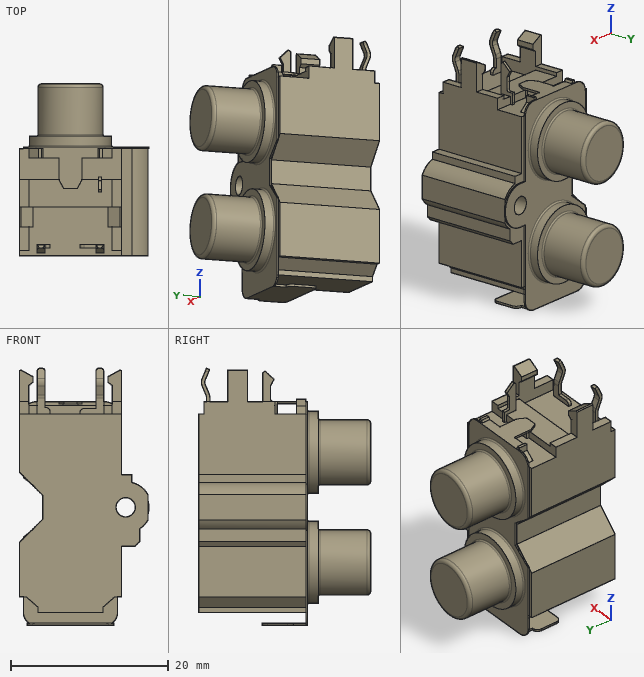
import cadquery as cq
import math


BODY_WIDTH = 13.0
BODY_DEPTH = 13.65
BODY_TOP = 26.9
SHOULDER_Z = 3.65
FOOT_Z = 1.65
FOOT_TAPER_Z = 2.3
FOOT_TAPER_X = 0.85
FOOT_X = 2.4
CENTRE_X = BODY_WIDTH / 2
JACK_MID_Z = 15.03
NOTCH_DEPTH = 2.95
NOTCH_HALF_MOUTH = 4.45
NOTCH_HALF_FLOOR = 1.55

EAR_HOLE_X = 13.52
EAR_HOLE_RADIUS = 1.2
EAR_RADIUS = 3.27
EAR_FLAT_X = 16.37
EAR_TOP_X = 14.3
EAR_TOP_Z = 19.2
EAR_LOW_X = 15.32
EAR_LOW_Z = 10.05
EAR_LOW_CHAMFER = 0.62

RAIL_TOP = 28.5
RAIL_WIDTH = 1.2
RAIL_FRONT_Y = 0.65
RAIL_BACK_Y = 9.7
SLAB_TOP = 28.0
SLAB_FRONT_Y = 6.22
NOSE_BACK_Y = 10.02
NOSE_WIDTH = 1.95
WALL_FRONT_Y = 12.45
WALL_FOOT_X = 1.25
WALL_SIDE_X = 2.42
WALL_SLOPE_Z = 27.9
WALL_HORN_Z = 28.8
WALL_HORN_X = 2.8
WALL_TOP_X = 2.98

POST_FRONT_Y = 3.67
POST_BACK_Y = SLAB_FRONT_Y
POST_TOP = 32.5
POST_EDGE_X = 0.2
POST_EDGE_Z = 32.4
HOOK_X = 1.75
HOOK_START_Z = 30.55
HOOK_LOW_Z = 30.95
HOOK_HIGH_Z = 31.65

SHIELD_SHEET = 0.2
FOLD_SHEET = 0.3
SHIELD_X = 0.5
SHIELD_TOP = RAIL_TOP
SHIELD_CORNER = 1.65
SHIELD_NOTCH_X = 3.1
SHIELD_HALF_MOUTH = 3.8
SHIELD_HALF_FLOOR = 1.75
SHIELD_EAR_RADIUS = 2.98
SHIELD_BACK_Y = BODY_DEPTH + SHIELD_SHEET
TAB_X = 0.98
TAB_NECK_X = 1.83
TAB_FRONT_Y = 8.1
TAB_BACK_Y = 12.08
TAB_FRONT_CORNER = 0.7
TAB_BACK_CORNER = 0.8
TONGUE_HALF_WIDTH = 1.47
TONGUE_TIP_HALF_WIDTH = 0.85
TONGUE_TIP_Y = 8.55

JACK_SPACING = 14.0
BARREL_RADIUS = 4.15
BARREL_END_Y = 21.9
BARREL_ROUND = 0.5
FLANGE_RADIUS = 5.25
FLANGE_END_Y = 15.22
ROOT_FILLET = 0.2

PIN_WIDTH = 1.0
PIN_OFFSET = 3.73
PIN_BACK_Y = 1.45
PIN_SHEET = 0.45
PIN_FRONT_Y = PIN_BACK_Y - PIN_SHEET
PIN_TOP = 32.75
PIN_CORNER = 0.4
PIN_LEAN = 23
BOW_Z = 30.95
BOW_FRONT_Y = 0.33
BOW_INNER_RADIUS = 0.82
HEEL_INNER_RADIUS = 0.98
LEFT_FOOT_END_X = 3.9
LEFT_FOOT_HEIGHT = 0.82
RIGHT_FOOT_END_X = 7.7
RIGHT_FOOT_HEIGHT = 0.7
FOOT_ROUND = 0.52

CLIP_X = 10.05
CLIP_SHEET = 0.43
CLIP_FRONT_Y = 8.12
CLIP_STEM_Y = 9.17
CLIP_FOOT_Z = 28.52
CLIP_FOOT_FILLET = 0.25
BARB_START_Z = 30.5
BARB_Y = 9.6
BARB_Z = 31.3
BARB_BEVEL = 0.15
CLIP_TIP_Y = 8.45
CLIP_TIP_Z = 32.38
CLIP_TIP_BEVEL = 0.25


def box(x0, x1, y0, y1, z0, z1):
    return cq.Workplane("XY").box(x1 - x0, y1 - y0, z1 - z0, centered=False).translate((x0, y0, z0))


def extrude_along_y(sketch_points, y0, y1):
    """Extrude an outline of (x, z) points from y0 to y1."""
    plane = cq.Workplane("XZ", origin=(0, y0, 0))
    return plane.polyline(sketch_points).close().extrude(y0 - y1)


def mirrored(shape):
    """The shape reflected across the middle of the body width."""
    return shape.mirror("YZ", (CENTRE_X, 0, 0))


def cylinder_along_y(x, z, radius, y0, y1):
    return cq.Workplane("XZ", origin=(x, y0, z)).circle(radius).extrude(y0 - y1)


def side_notch(depth_x, half_mouth, half_floor, start_x, y0, y1):
    """Flared notch cut into the left side between the two jacks."""
    return extrude_along_y(
        [
            (start_x, JACK_MID_Z + half_mouth),
            (depth_x, JACK_MID_Z + half_floor),
            (depth_x, JACK_MID_Z - half_floor),
            (start_x, JACK_MID_Z - half_mouth),
        ],
        y0,
        y1,
    )


def body_block():
    half_outline = [
        (CENTRE_X, BODY_TOP),
        (0, BODY_TOP),
        (0, SHOULDER_Z),
        (FOOT_TAPER_X, SHOULDER_Z),
        (FOOT_X, FOOT_TAPER_Z),
        (FOOT_X, FOOT_Z),
        (CENTRE_X, FOOT_Z),
    ]
    half = extrude_along_y(half_outline, 0, BODY_DEPTH)
    notch = side_notch(NOTCH_DEPTH, NOTCH_HALF_MOUTH, NOTCH_HALF_FLOOR, 0, 0, BODY_DEPTH)
    return half.union(mirrored(half)).cut(notch)


def mounting_ear():
    disc = cylinder_along_y(EAR_HOLE_X, JACK_MID_Z, EAR_RADIUS, 0, BODY_DEPTH)
    disc = disc.intersect(box(CENTRE_X, EAR_FLAT_X, 0, BODY_DEPTH, 0, BODY_TOP))
    upper = box(CENTRE_X, EAR_TOP_X, 0, BODY_DEPTH, JACK_MID_Z, EAR_TOP_Z)
    lower = box(CENTRE_X, EAR_LOW_X, 0, BODY_DEPTH, EAR_LOW_Z, JACK_MID_Z)
    lower = lower.edges("|Y and >X and <Z").chamfer(EAR_LOW_CHAMFER)
    return disc.union(upper).union(lower)


def snap_post():
    """Post on the left rail with a hooked, sloping head that faces inwards."""
    return extrude_along_y(
        [
            (0, BODY_TOP),
            (RAIL_WIDTH, BODY_TOP),
            (RAIL_WIDTH, HOOK_START_Z),
            (HOOK_X, HOOK_LOW_Z),
            (HOOK_X, HOOK_HIGH_Z),
            (POST_EDGE_X, POST_TOP),
            (0, POST_EDGE_Z),
        ],
        POST_FRONT_Y,
        POST_BACK_Y,
    )


def back_wall():
    """Wall along the rear edge with a sloping foot and a small horn at each end."""
    half = extrude_along_y(
        [
            (CENTRE_X, BODY_TOP),
            (WALL_FOOT_X, BODY_TOP),
            (WALL_SIDE_X, WALL_SLOPE_Z),
            (WALL_SIDE_X, WALL_HORN_Z),
            (WALL_HORN_X, WALL_HORN_Z),
            (WALL_TOP_X, RAIL_TOP),
            (CENTRE_X, RAIL_TOP),
        ],
        WALL_FRONT_Y,
        BODY_DEPTH,
    )
    return half.union(mirrored(half))


def top_features():
    rail = box(0, RAIL_WIDTH, RAIL_FRONT_Y, RAIL_BACK_Y, BODY_TOP, RAIL_TOP)
    left_side = rail.union(snap_post())
    slab = box(RAIL_WIDTH, BODY_WIDTH - RAIL_WIDTH, SLAB_FRONT_Y, RAIL_BACK_Y, BODY_TOP, SLAB_TOP)
    nose = box(
        CENTRE_X - NOSE_WIDTH / 2,
        CENTRE_X + NOSE_WIDTH / 2,
        RAIL_BACK_Y,
        NOSE_BACK_Y,
        BODY_TOP,
        RAIL_TOP - FOLD_SHEET,
    )
    return left_side.union(mirrored(left_side)).union(slab).union(nose).union(back_wall())


def shield_plate():
    plate = box(SHIELD_X, BODY_WIDTH - SHIELD_X, BODY_DEPTH, SHIELD_BACK_Y, 0, SHIELD_TOP)
    plate = plate.edges("|Y").fillet(SHIELD_CORNER)
    notch = side_notch(
        SHIELD_NOTCH_X, SHIELD_HALF_MOUTH, SHIELD_HALF_FLOOR, SHIELD_X, BODY_DEPTH, SHIELD_BACK_Y
    )
    ear = cylinder_along_y(EAR_HOLE_X, JACK_MID_Z, SHIELD_EAR_RADIUS, BODY_DEPTH, SHIELD_BACK_Y)
    ear_root = box(
        CENTRE_X,
        EAR_HOLE_X,
        BODY_DEPTH,
        SHIELD_BACK_Y,
        JACK_MID_Z - SHIELD_EAR_RADIUS,
        JACK_MID_Z + SHIELD_EAR_RADIUS,
    )
    return plate.cut(notch).union(ear).union(ear_root)


def shield_tab():
    """Tab folded forward under the body, narrower where it leaves the plate."""
    tab = box(TAB_X, BODY_WIDTH - TAB_X, TAB_FRONT_Y, TAB_BACK_Y, 0, FOLD_SHEET)
    tab = tab.edges("|Z and <Y").fillet(TAB_FRONT_CORNER)
    tab = tab.edges("|Z and >Y").fillet(TAB_BACK_CORNER)
    neck = box(TAB_NECK_X, BODY_WIDTH - TAB_NECK_X, TAB_BACK_Y, SHIELD_BACK_Y, 0, FOLD_SHEET)
    return tab.union(neck)


def shield_tongue():
    """Tapered tongue folded forward over the top of the body."""
    outline = [
        (CENTRE_X - TONGUE_HALF_WIDTH, WALL_FRONT_Y),
        (CENTRE_X - TONGUE_HALF_WIDTH, RAIL_BACK_Y),
        (CENTRE_X - TONGUE_TIP_HALF_WIDTH, TONGUE_TIP_Y),
        (CENTRE_X + TONGUE_TIP_HALF_WIDTH, TONGUE_TIP_Y),
        (CENTRE_X + TONGUE_HALF_WIDTH, RAIL_BACK_Y),
        (CENTRE_X + TONGUE_HALF_WIDTH, WALL_FRONT_Y),
    ]
    plane = cq.Workplane("XY", origin=(0, 0, RAIL_TOP - FOLD_SHEET))
    return plane.polyline(outline).close().extrude(FOLD_SHEET)


def jack_barrel(z):
    """Solid barrel and flange, turned about an axis along Y at height z."""
    profile = (
        cq.Workplane("XY")
        .moveTo(0, BODY_DEPTH)
        .lineTo(FLANGE_RADIUS + ROOT_FILLET, BODY_DEPTH)
        .lineTo(FLANGE_RADIUS + ROOT_FILLET, SHIELD_BACK_Y)
        .radiusArc((FLANGE_RADIUS, SHIELD_BACK_Y + ROOT_FILLET), ROOT_FILLET)
        .lineTo(FLANGE_RADIUS, FLANGE_END_Y)
        .lineTo(BARREL_RADIUS + ROOT_FILLET, FLANGE_END_Y)
        .radiusArc((BARREL_RADIUS, FLANGE_END_Y + ROOT_FILLET), ROOT_FILLET)
        .lineTo(BARREL_RADIUS, BARREL_END_Y - BARREL_ROUND)
        .radiusArc((BARREL_RADIUS - BARREL_ROUND, BARREL_END_Y), -BARREL_ROUND)
        .lineTo(0, BARREL_END_Y)
        .close()
    )
    return profile.revolve(360, (0, 0, 0), (0, 1, 0)).translate((CENTRE_X, 0, z))


def contact_pin(centre_x):
    """Flat pin bent forwards and back again in two round bends, with a rounded tip."""
    lean = math.radians(PIN_LEAN)
    across_y = math.cos(lean)
    across_z = math.sin(lean)
    bow_outer = BOW_INNER_RADIUS + PIN_SHEET
    heel_outer = HEEL_INNER_RADIUS + PIN_SHEET
    bow_y = BOW_FRONT_Y + bow_outer
    heel_y = PIN_FRONT_Y - HEEL_INNER_RADIUS
    heel_z = BOW_Z + ((bow_y - heel_y) * across_y - bow_outer - HEEL_INNER_RADIUS) / across_z

    def on_heel(radius):
        return (heel_y + radius * across_y, heel_z + radius * across_z)

    def below_bow(radius):
        return (bow_y - radius * across_y, BOW_Z - radius * across_z)

    def above_bow(radius):
        return (bow_y - radius * across_y, BOW_Z + radius * across_z)

    tip_front_y = above_bow(bow_outer)[0] + (PIN_TOP - above_bow(bow_outer)[1]) * math.tan(lean)
    tip_back = (tip_front_y + PIN_SHEET * across_y, PIN_TOP - PIN_SHEET * across_z)
    left_x = centre_x - PIN_WIDTH / 2
    right_x = centre_x + PIN_WIDTH / 2
    strip = (
        cq.Workplane("YZ", origin=(left_x, 0, 0))
        .moveTo(PIN_FRONT_Y, BODY_TOP)
        .lineTo(PIN_FRONT_Y, heel_z)
        .radiusArc(on_heel(HEEL_INNER_RADIUS), -HEEL_INNER_RADIUS)
        .lineTo(*below_bow(bow_outer))
        .radiusArc(above_bow(bow_outer), bow_outer)
        .lineTo(tip_front_y, PIN_TOP)
        .lineTo(*tip_back)
        .lineTo(*above_bow(BOW_INNER_RADIUS))
        .radiusArc(below_bow(BOW_INNER_RADIUS), -BOW_INNER_RADIUS)
        .lineTo(*on_heel(heel_outer))
        .radiusArc((PIN_BACK_Y, heel_z), heel_outer)
        .lineTo(PIN_BACK_Y, BODY_TOP)
        .close()
        .extrude(PIN_WIDTH)
    )
    outline = box(left_x, right_x, 0, tip_back[0] + PIN_SHEET, BODY_TOP, PIN_TOP)
    return strip.intersect(outline.edges("|Y and >Z").fillet(PIN_CORNER))


def pin_foot(inner_x, end_x, height):
    """Low foot from a pin towards the middle of the body, its upper end corner rounded."""
    foot = box(
        min(inner_x, end_x),
        max(inner_x, end_x),
        PIN_FRONT_Y,
        PIN_BACK_Y,
        BODY_TOP,
        BODY_TOP + height,
    )
    end_side = ">X" if end_x > inner_x else "<X"
    return foot.edges("|Y and >Z and " + end_side).fillet(FOOT_ROUND)


def earth_clip():
    """Sheet clip with a barbed head that points to the rear."""
    profile = (
        cq.Workplane("YZ", origin=(CLIP_X, 0, 0))
        .moveTo(CLIP_FRONT_Y, BODY_TOP)
        .lineTo(NOSE_BACK_Y, BODY_TOP)
        .lineTo(NOSE_BACK_Y, CLIP_FOOT_Z)
        .lineTo(CLIP_STEM_Y + CLIP_FOOT_FILLET, CLIP_FOOT_Z)
        .radiusArc((CLIP_STEM_Y, CLIP_FOOT_Z + CLIP_FOOT_FILLET), CLIP_FOOT_FILLET)
        .lineTo(CLIP_STEM_Y, BARB_START_Z)
        .lineTo(BARB_Y, BARB_Z)
        .lineTo(BARB_Y - BARB_BEVEL, BARB_Z + BARB_BEVEL)
        .lineTo(CLIP_TIP_Y, CLIP_TIP_Z)
        .lineTo(CLIP_FRONT_Y, CLIP_TIP_Z - CLIP_TIP_BEVEL)
        .close()
    )
    return profile.extrude(CLIP_SHEET)


left_pin_x = CENTRE_X - PIN_OFFSET
right_pin_x = CENTRE_X + PIN_OFFSET

features = [
    mounting_ear(),
    top_features(),
    shield_plate(),
    shield_tab(),
    shield_tongue(),
    jack_barrel(JACK_MID_Z - JACK_SPACING / 2),
    jack_barrel(JACK_MID_Z + JACK_SPACING / 2),
    contact_pin(left_pin_x),
    contact_pin(right_pin_x),
    pin_foot(left_pin_x, LEFT_FOOT_END_X, LEFT_FOOT_HEIGHT),
    pin_foot(right_pin_x, RIGHT_FOOT_END_X, RIGHT_FOOT_HEIGHT),
    earth_clip(),
]

result = body_block()
for feature in features:
    result = result.union(feature)

result = result.cut(cylinder_along_y(EAR_HOLE_X, JACK_MID_Z, EAR_HOLE_RADIUS, 0, SHIELD_BACK_Y))